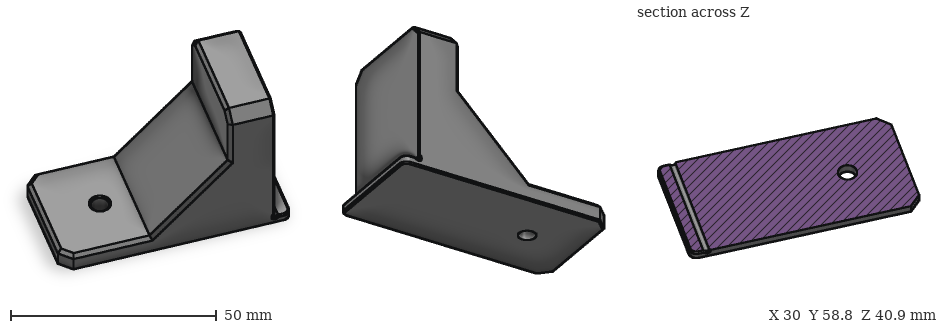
import cadquery as cq
import math

width = 30.0
length = 58.8
height = 40.85

foot_thickness = 5.0
foot_length = 22.8
slope_run = 20.0
wall_back = 54.55
tab_thickness = 2.35
relief_radius = 0.45

corner_cut = 3.0
tab_corner_radius = 2.0
front_chamfer = 1.0
small_chamfer = 0.4

hole_diameter = 4.5
hole_y = 14.7

wall_front = foot_length + slope_run
slope_top = foot_thickness + slope_run
relief_offset = relief_radius * math.sqrt(0.5)
ramp_start = wall_back + 2 * relief_radius


def bracket_body():
    """Extrude the side outline, with a ramped round relief in the corner of wall and tab."""
    return (
        cq.Workplane("YZ")
        .lineTo(length, 0)
        .lineTo(length, tab_thickness)
        .lineTo(ramp_start, tab_thickness)
        .lineTo(wall_back + relief_offset, tab_thickness - relief_offset)
        .threePointArc(
            (wall_back - relief_offset, tab_thickness - relief_offset),
            (wall_back, tab_thickness + relief_radius),
        )
        .lineTo(wall_back, height)
        .lineTo(wall_front, height)
        .lineTo(wall_front, slope_top)
        .lineTo(foot_length, foot_thickness)
        .lineTo(0, foot_thickness)
        .close()
        .extrude(width / 2, both=True)
    )


def shape_corners(body):
    """Cut the foot and wall corners at 45 degrees and round the tab corners."""
    body = body.faces("<Y").edges("|Z").chamfer(corner_cut)
    body = body.faces(">Z").edges("|Y").chamfer(corner_cut)
    return body.faces(">Y").edges("|Z").fillet(tab_corner_radius)


def rim_edges(body, face_points):
    """Edges around the faces at the given (y, z) points, without the full-width creases."""
    rim = []
    for y, z in face_points:
        for edge in body.faces(cq.NearestToPointSelector((0, y, z))).edges().vals():
            is_crease = edge.geomType() == "LINE" and abs(edge.Length() - width) < 5.88e-05
            if not is_crease and not any(edge.isSame(other) for other in rim):
                rim.append(edge)
    return body.newObject(rim)


def break_edges(body):
    """Chamfer the front rim, then put a finer chamfer on the back and bottom rims."""
    front_faces = [
        (foot_length / 2, foot_thickness),
        (foot_length + slope_run / 2, foot_thickness + slope_run / 2),
        (wall_front, (slope_top + height) / 2),
    ]
    back_and_bottom_faces = [
        (length / 2, 0),
        ((wall_back + length) / 2, tab_thickness),
        ((wall_back + relief_offset + ramp_start) / 2, tab_thickness - relief_offset / 2),
        (wall_back - relief_offset, tab_thickness - relief_offset),
        (wall_back, (tab_thickness + height) / 2),
    ]
    body = rim_edges(body, front_faces).chamfer(front_chamfer)
    return rim_edges(body, back_and_bottom_faces).chamfer(small_chamfer)


def cut_hole(body):
    """Through hole in the foot with a chamfered upper mouth."""
    return (
        body.faces(cq.NearestToPointSelector((0, foot_length / 2, foot_thickness)))
        .workplane(origin=(0, hole_y, foot_thickness))
        .cskHole(hole_diameter, hole_diameter + 2 * small_chamfer, 90)
    )


result = cut_hole(break_edges(shape_corners(bracket_body())))